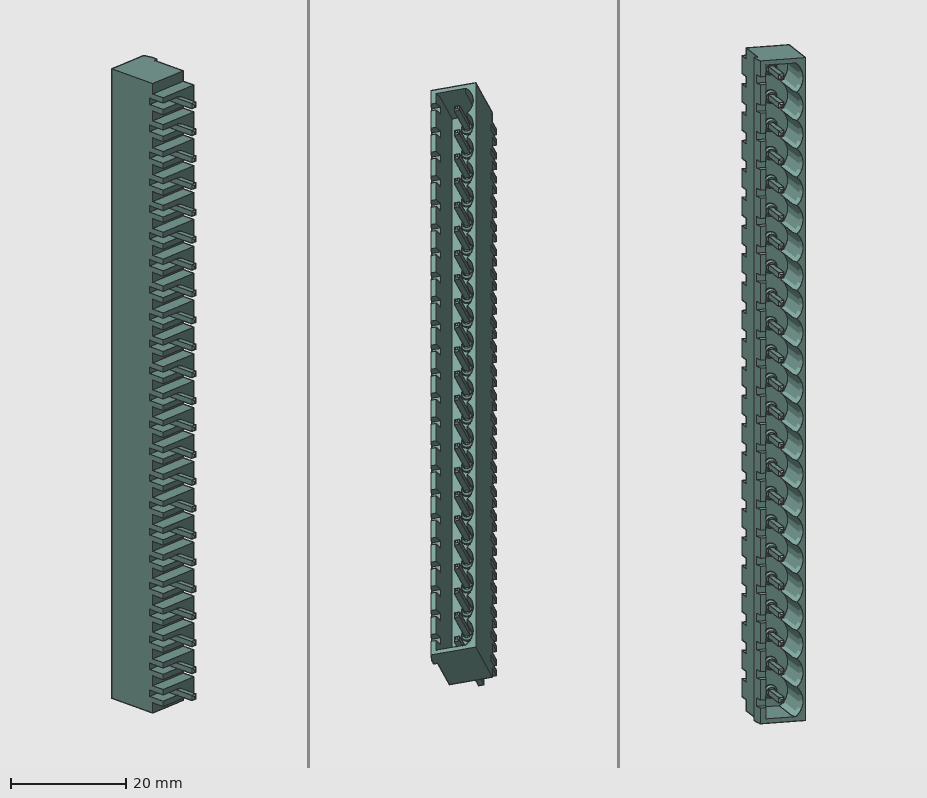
import cadquery as cq

length = 118.8
shell_depth = 9.7
shell_width = 7.8

pin_count = 23
end_to_pin = 3.6
pitch = (length - 2 * end_to_pin) / (pin_count - 1)
pin_y = 3.9
pin_points = [(pin_y, end_to_pin + i * pitch) for i in range(pin_count)]

contact_tip = 1.3
tail_tip = 16.2
pin_size = 1.0
pin_chamfer = 0.3
collar_radius = 1.2
collar_chamfer = 0.4
collar_height = 0.7

cavity_depth = 8.3
end_wall = 0.8
upper_wall_y = 6.9
lobe_radius = 3.2
lead_in_depth = 1.2
wall_flare = 0.4
lobe_flare = 0.2

ledge_length = 2.9
ledge_ramp_length = 1.7
ledge_front_y = 8.2
ledge_peak_y = 8.5
ledge_slot_width = 1.4
ledge_slot_depth = 1.4

foot_end = 12.2
foot_height = 3.2
tail_slot_width = 1.2
tail_slot_start = 9.0
shell_slot_floor_y = 2.4


def pin_row_blocks(x_range, y_range, height):
    """One block per pin, centred on the pin in Z."""
    x_start, x_end = x_range
    y_start, y_end = y_range
    centers = [((y_start + y_end) / 2, z) for _, z in pin_points]
    row = cq.Workplane("YZ", origin=(x_start, 0, 0)).pushPoints(centers)
    return row.rect(y_end - y_start, height).extrude(x_end - x_start)


def make_shell():
    """Plain shell with the ramped snap ledge."""
    profile = [
        (0, 0),
        (shell_depth, 0),
        (shell_depth, shell_width),
        (ledge_length, shell_width),
        (ledge_length, ledge_peak_y),
        (ledge_ramp_length, ledge_peak_y),
        (0, ledge_front_y),
    ]
    return cq.Workplane("XY").polyline(profile).close().extrude(length)


def make_lobe(z):
    """Round bore about a pin axis, with a conical lead-in at the front rim."""
    profile = [
        (0, pin_y),
        (0, pin_y - lobe_radius - lobe_flare),
        (lead_in_depth, pin_y - lobe_radius),
        (cavity_depth, pin_y - lobe_radius),
        (cavity_depth, pin_y),
    ]
    lobe = cq.Workplane("XY", origin=(0, 0, z)).polyline(profile).close()
    return lobe.revolve(360, (0, pin_y, 0), (1, pin_y, 0))


def make_lower_cavity():
    """Scalloped -Y half of the cavity: the bores below the pin axes, trimmed at the end walls."""
    height = length - 2 * end_wall
    trim = cq.Workplane("XY").box(cavity_depth, pin_y, height, centered=False).translate((0, 0, end_wall))
    lobes = [make_lobe(z).val() for _, z in pin_points]
    return trim.intersect(cq.Workplane(lobes[0].fuse(*lobes[1:])))


def make_upper_cavity():
    """Flat +Y half of the cavity, flared at the front rim."""
    profile = [
        (0, pin_y),
        (cavity_depth, pin_y),
        (cavity_depth, upper_wall_y),
        (lead_in_depth, upper_wall_y),
        (0, upper_wall_y + wall_flare),
    ]
    section = cq.Workplane("XY", origin=(0, 0, end_wall)).polyline(profile).close()
    return section.extrude(length - 2 * end_wall)


def make_pins():
    """Square pins, pointed at the contact tip and at the solder tip."""
    pins = cq.Workplane("YZ", origin=(contact_tip, 0, 0)).pushPoints(pin_points)
    pins = pins.rect(pin_size, pin_size).extrude(tail_tip - contact_tip)
    return pins.faces("<X or >X").chamfer(pin_chamfer)


def make_collars():
    """Round collars on the cavity floor around the pins, chamfered at the front."""
    collars = cq.Workplane("YZ", origin=(cavity_depth - collar_height, 0, 0)).pushPoints(pin_points)
    collars = collars.circle(collar_radius).extrude(collar_height)
    return collars.faces("<X").chamfer(collar_chamfer)


feet = pin_row_blocks((shell_depth, foot_end), (0, shell_width), foot_height)
ledge_slots = pin_row_blocks((0, ledge_slot_depth), (upper_wall_y, ledge_peak_y), ledge_slot_width)
shell_slots = pin_row_blocks((tail_slot_start, shell_depth), (0, shell_slot_floor_y), tail_slot_width)
foot_slots = pin_row_blocks((shell_depth, foot_end), (0, pin_y), tail_slot_width)

housing = make_shell().union(feet)
housing = housing.cut(make_upper_cavity()).cut(make_lower_cavity())
housing = housing.cut(ledge_slots).cut(shell_slots).cut(foot_slots)

result = housing.union(make_collars()).union(make_pins())